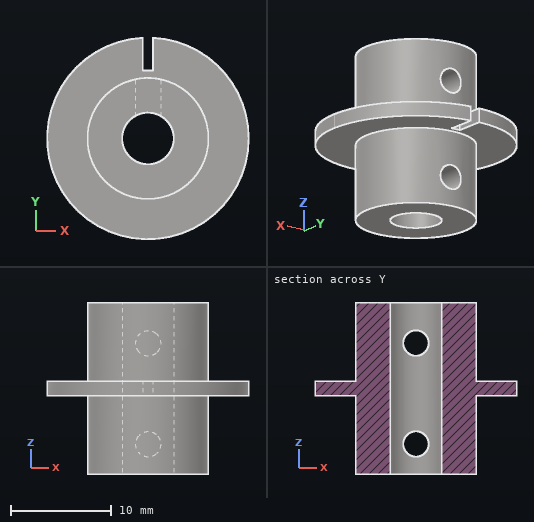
import cadquery as cq

sleeve_diameter = 12.0
sleeve_length = 17.0
bore_diameter = 5.1

flange_diameter = 19.99
flange_thickness = 1.45

slot_width = 1.0
slot_floor_y = 6.74

screw_hole_diameter = 2.5
upper_hole_z = 4.5
screw_hole_spacing = 10.0


def centred_cylinder(diameter, length):
    return cq.Workplane("XY").cylinder(length, diameter / 2)


def flange_slot():
    slot_length = flange_diameter / 2 - slot_floor_y
    return (
        cq.Workplane("XY")
        .box(slot_width, slot_length, flange_thickness, centered=(True, False, True))
        .translate((0, slot_floor_y, 0))
    )


def screw_hole(z):
    """Cylinder from the sleeve axis out through the +Y wall."""
    axis_start = cq.Vector(0, 0, z)
    outward = cq.Vector(0, 1, 0)
    return cq.Workplane(
        cq.Solid.makeCylinder(screw_hole_diameter / 2, sleeve_diameter / 2, axis_start, outward)
    )


flange = centred_cylinder(flange_diameter, flange_thickness).cut(flange_slot())
result = centred_cylinder(sleeve_diameter, sleeve_length).union(flange)
result = result.cut(centred_cylinder(bore_diameter, sleeve_length))

for hole_z in (upper_hole_z, upper_hole_z - screw_hole_spacing):
    result = result.cut(screw_hole(hole_z))